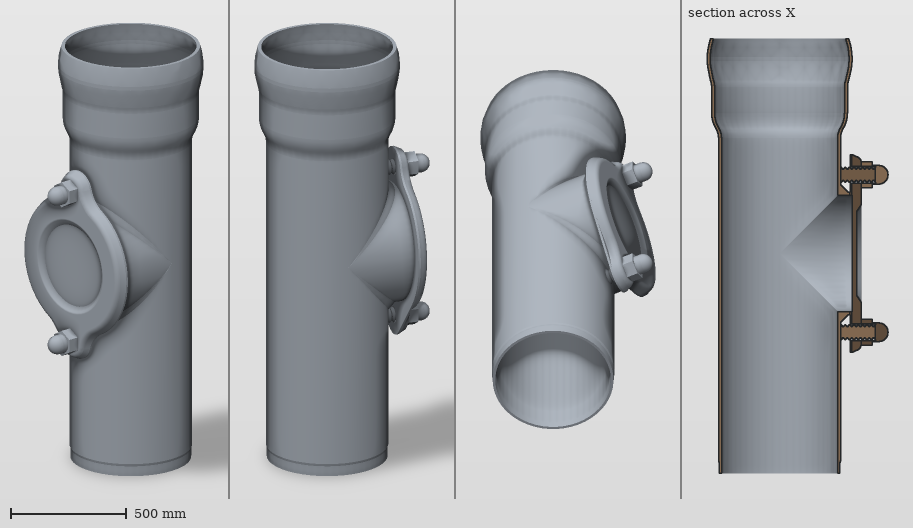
import cadquery as cq
import math

total_length = 1880.0
pipe_radius = 265.0
wall = 15.0
bore_radius = pipe_radius - wall
spigot_radius = 261.0
spigot_length = 45.0
spigot_taper_end = 56.0

sleeve_radius = 295.0
bulge_radius = 314.9
mouth_radius = 299.9
flare_start = 1450.0
sleeve_start = 1559.0
sleeve_end = 1671.0
bulge_start = 1700.0
bulge_low = 1785.0
bulge_high = 1801.0

branch_height = 951.0
branch_reach = 305.0
blend_radius = 32.0

plate_radius = 320.0
lobe_radius = 88.0
bolt_offset = 340.0
waist_radius = 132.0
gasket_thickness = 10.0
cover_thickness = 40.0
cover_draft = 25
cover_edge_radius = 25.0
recess_floor_radius = 182.0
recess_rim_radius = 209.6
recess_depth = 19.0
recess_lip_radius = 11.0
bolt_hole_diameter = 73.0

thread_diameter = 70.0
thread_root_diameter = 49.0
thread_pitch = 19.0
thread_count = 8
nut_flats = 100.0
nut_hex_height = 49.0
dome_radius = 41.0
nut_height = 117.0

gasket_back = branch_reach
cover_back = gasket_back + gasket_thickness
cover_front = cover_back + cover_thickness
stud_start = pipe_radius
stud_length = thread_pitch * thread_count


def facing_plane(distance):
    """Plane at Y = -distance on the branch axis, facing -Y, with X and Z as its axes."""
    return cq.Workplane("XZ", origin=(0, -distance, branch_height))


def pipe_profile(inset):
    """Solid of revolution of the pipe outline, moved inward by inset."""
    flare_middle = flare_start + 0.41 * (sleeve_start - flare_start)
    flare_radius = pipe_radius + 0.41 * (sleeve_radius - pipe_radius)
    neck_radius = sleeve_radius + 0.24 * (bulge_radius - sleeve_radius)
    outline = cq.Workplane("XZ").moveTo(0, 0)
    if inset == 0:
        outline = (
            outline.lineTo(spigot_radius, 0)
            .lineTo(spigot_radius, spigot_length)
            .lineTo(pipe_radius, spigot_taper_end)
        )
    else:
        outline = outline.lineTo(pipe_radius - inset, 0)
    return (
        outline.lineTo(pipe_radius - inset, flare_start)
        .tangentArcPoint((flare_radius - inset, flare_middle), relative=False)
        .tangentArcPoint((sleeve_radius - inset, sleeve_start), relative=False)
        .lineTo(sleeve_radius - inset, sleeve_end)
        .tangentArcPoint((neck_radius - inset, bulge_start), relative=False)
        .tangentArcPoint((bulge_radius - inset, bulge_low), relative=False)
        .lineTo(bulge_radius - inset, bulge_high)
        .tangentArcPoint((mouth_radius - inset, total_length), relative=False)
        .lineTo(0, total_length)
        .close()
        .revolve(360, (0, 0, 0), (0, 1, 0))
    )


def branch_blend():
    """Fillet along the upper seam of pipe and branch, as the space left by a ball rolled along it.

    The ball's centre follows an ellipse in the 45 degree mitre plane. Its touch lines on the pipe
    and on the branch are flat curves, so two planes and an elliptical cylinder bound the fillet.
    """
    ball_path_radius = pipe_radius + blend_radius
    beyond = 1.2
    wedge = (
        cq.Workplane("YZ")
        .moveTo(0, 0)
        .lineTo(-pipe_radius * beyond, ball_path_radius * beyond)
        .lineTo(-ball_path_radius * beyond, pipe_radius * beyond)
        .close()
        .extrude(pipe_radius, both=True)
    )
    mitre = cq.Plane(origin=(0, 0, 0), xDir=(1, 0, 0), normal=(0, -1, -1))
    chord_limit = (
        cq.Workplane(mitre)
        .ellipse(pipe_radius, (ball_path_radius + pipe_radius) / math.sqrt(2))
        .extrude(2 * blend_radius, both=True)
    )
    ball_path = cq.Workplane(mitre).ellipseArc(
        ball_path_radius, ball_path_radius * math.sqrt(2), 0, 180, startAtCurrent=False
    )
    path_start = cq.Plane(origin=(ball_path_radius, 0, 0), xDir=(1, 0, 0), normal=(0, -1, 1))
    ball_sweep = cq.Workplane(path_start).circle(blend_radius).sweep(ball_path)
    return wedge.intersect(chord_limit).cut(ball_sweep)


def make_pipe():
    branch = facing_plane(0).circle(pipe_radius).extrude(branch_reach)
    branch_bore = facing_plane(0).circle(bore_radius).extrude(branch_reach)
    upper_blend = branch_blend()
    lower_blend = upper_blend.mirror("XY")
    body = pipe_profile(0).union(branch)
    for blend in (upper_blend, lower_blend):
        body = body.union(blend.translate((0, 0, branch_height)))
    return body.cut(pipe_profile(wall)).cut(branch_bore)


def plate_outline(workplane, straight_corner):
    """Round plate with a bolt lobe above and below, joined by hollow waists.

    With straight_corner, the waist at -X below is replaced by a straight tangent.
    """
    to_plate = plate_radius + waist_radius
    to_lobe = lobe_radius + waist_radius
    waist_z = (bolt_offset**2 + to_plate**2 - to_lobe**2) / (2 * bolt_offset)
    waist_x = math.sqrt(to_plate**2 - waist_z**2)
    plate_x = waist_x * plate_radius / to_plate
    plate_z = waist_z * plate_radius / to_plate
    lobe_x = waist_x * lobe_radius / to_lobe
    lobe_z = bolt_offset + (waist_z - bolt_offset) * lobe_radius / to_lobe
    middle_x = (plate_x + lobe_x) / 2 - waist_x
    middle_z = (plate_z + lobe_z) / 2 - waist_z
    stretch = waist_radius / math.hypot(middle_x, middle_z)
    middle = (waist_x + middle_x * stretch, waist_z + middle_z * stretch)
    tangent_z = (plate_radius - lobe_radius) / bolt_offset
    tangent_x = math.sqrt(1 - tangent_z**2)
    lobe_tip = bolt_offset + lobe_radius

    outline = (
        workplane.moveTo(plate_x, -plate_z)
        .threePointArc((plate_radius, 0), (plate_x, plate_z))
        .threePointArc(middle, (lobe_x, lobe_z))
        .threePointArc((0, lobe_tip), (-lobe_x, lobe_z))
        .threePointArc((-middle[0], middle[1]), (-plate_x, plate_z))
    )
    if straight_corner:
        outline = (
            outline.threePointArc(
                (-plate_radius, 0), (-plate_radius * tangent_x, -plate_radius * tangent_z)
            )
            .lineTo(-lobe_radius * tangent_x, -bolt_offset - lobe_radius * tangent_z)
        )
    else:
        outline = (
            outline.threePointArc((-plate_radius, 0), (-plate_x, -plate_z))
            .threePointArc((-middle[0], -middle[1]), (-lobe_x, -lobe_z))
        )
    return (
        outline.threePointArc((0, -lobe_tip), (lobe_x, -lobe_z))
        .threePointArc((middle[0], -middle[1]), (plate_x, -plate_z))
        .close()
    )


def bolt_holes(distance, depth):
    return (
        facing_plane(distance)
        .pushPoints([(0, bolt_offset), (0, -bolt_offset)])
        .circle(bolt_hole_diameter / 2)
        .extrude(depth)
    )


def make_gasket():
    gasket = plate_outline(facing_plane(gasket_back), True).extrude(gasket_thickness)
    opening = facing_plane(gasket_back).circle(bore_radius).extrude(gasket_thickness)
    return gasket.cut(opening).cut(bolt_holes(gasket_back, gasket_thickness))


def make_cover():
    cover = plate_outline(facing_plane(cover_back), False).extrude(cover_thickness, taper=cover_draft)
    cover = cover.faces("<Y").edges().fillet(cover_edge_radius)
    recess_wall = math.degrees(math.atan((recess_rim_radius - recess_floor_radius) / recess_depth))
    recess = (
        facing_plane(cover_front - recess_depth)
        .circle(recess_floor_radius)
        .extrude(recess_depth, taper=-recess_wall)
    )
    cover = cover.cut(recess)
    recess_rim = cover.faces("<Y").val().innerWires()[0].Edges()
    cover = cover.newObject(recess_rim).fillet(recess_lip_radius)
    return cover.cut(bolt_holes(cover_back, cover_thickness))


def make_stud(height):
    """Stud with a ring-shaped thread, resting on the pipe."""
    crest = thread_diameter / 2
    root = thread_root_diameter / 2
    outline = cq.Workplane("XY").moveTo(0, -stud_start).lineTo(crest, -stud_start)
    for turn in range(thread_count):
        turn_start = stud_start + turn * thread_pitch
        outline = outline.lineTo(root, -turn_start - thread_pitch / 2)
        outline = outline.lineTo(crest, -turn_start - thread_pitch)
    stud = (
        outline.lineTo(0, -stud_start - stud_length)
        .close()
        .revolve(360, (0, 0, 0), (0, 1, 0))
    )
    return stud.translate((0, 0, height))


def make_cap_nut(height):
    across_corners = nut_flats / math.cos(math.radians(30))
    dome_base = nut_height - dome_radius
    hexagon = cq.Workplane("XZ").polygon(6, across_corners).extrude(nut_hex_height)
    hexagon = hexagon.rotate((0, 0, 0), (0, 1, 0), 30)
    cap = cq.Workplane("XZ").circle(dome_radius).extrude(dome_base)
    dome = cq.Workplane("XY").sphere(dome_radius).translate((0, -dome_base, 0))
    stud_hole = (
        cq.Workplane("XZ").circle(thread_diameter / 2).extrude(stud_start + stud_length - cover_front)
    )
    nut = hexagon.union(cap).union(dome).cut(stud_hole)
    return nut.translate((0, -cover_front, height))


pipe = make_pipe()
gasket = make_gasket()
cover = make_cover()
bolt_heights = [branch_height - bolt_offset, branch_height + bolt_offset]
studs = [make_stud(height).val() for height in bolt_heights]
nuts = [make_cap_nut(height).val() for height in bolt_heights]

result = cq.Compound.makeCompound([pipe.val(), gasket.val(), cover.val(), *studs, *nuts])